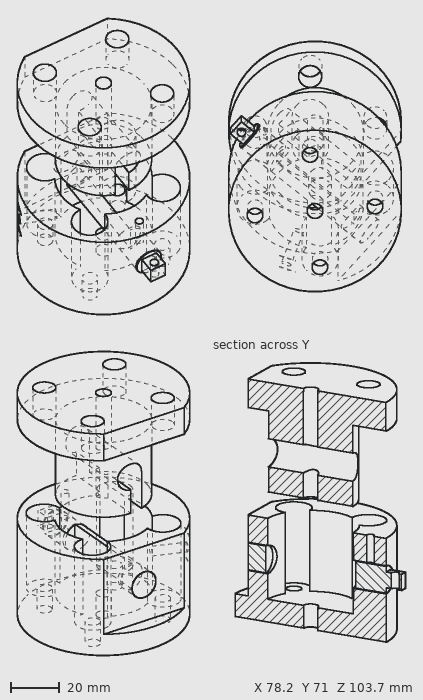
import cadquery as cq
import math

body_radius = 35.5
bore_diameter = 40.0
flat_x = -math.sqrt(body_radius**2 - (bore_diameter / 2) ** 2)

base_height = 45.0
foot_height = 10.0
bore_depth = base_height - foot_height
pin_axis_z = 27.0
bolt_offset = 17.5
bolt_hole_diameter = 6.4
bolt_pocket_diameter = 15.0
center_hole_diameter = 6.5
set_screw_diameter = 3.3
set_screw_x = 28.0

spot_angle = 20.6
spot_width = 8.3
spot_height = 13.0
spot_center_z = 27.5
spot_hole_diameter = 4.0

pin_hole_diameter = 12.0
pin_diameter = 11.8
pin_length = 65.0
pin_cut_length = 42.0
tail_size = 7.0
tail_hole_diameter = 3.5
tail_hole_inset = 3.0

flange_thickness = 12.5
plug_length = bore_depth
plug_diameter = 39.6
overall_height = 103.73
flange_top_z = overall_height
flange_bottom_z = flange_top_z - flange_thickness
plug_bottom_z = flange_bottom_z - plug_length
cross_hole_z = plug_bottom_z + pin_axis_z - foot_height
flange_hole_diameter = 9.5

overshoot = 1.0
bolt_points = [(sx * bolt_offset, sy * bolt_offset) for sx in (-1, 1) for sy in (-1, 1)]


def vertical_cylinders(diameter, z_bottom, z_top, points):
    """Upright cylinders of one diameter between two heights."""
    return (
        cq.Workplane("XY", origin=(0, 0, z_bottom))
        .pushPoints(points)
        .circle(diameter / 2)
        .extrude(z_top - z_bottom)
    )


def cylinder_along_x(diameter, x_start, x_end, z):
    """Cylinder on the XZ plane of symmetry, parallel to X."""
    return cq.Workplane("YZ", origin=(x_start, 0, z)).circle(diameter / 2).extrude(x_end - x_start)


def box_between(x_range, y_range, z_range):
    """Axis-aligned box given by its limits."""
    ranges = (x_range, y_range, z_range)
    low_corner = tuple(low for low, high in ranges)
    sizes = [high - low for low, high in ranges]
    return cq.Workplane("XY").box(*sizes, centered=False).translate(low_corner)


def flat_cutter(z_bottom, z_top):
    """Everything on the -X side of the flat, between two heights."""
    return box_between((-body_radius - overshoot, flat_x), (-body_radius, body_radius), (z_bottom, z_top))


def spot_cutter():
    """Shallow flat spot on the round side with a radial hole into the bore."""
    chord_distance = math.sqrt(body_radius**2 - (spot_width / 2) ** 2)
    spot = box_between(
        (-spot_width / 2, spot_width / 2),
        (-body_radius - overshoot, -chord_distance),
        (spot_center_z - spot_height / 2, spot_center_z + spot_height / 2),
    )
    hole = (
        cq.Workplane("XZ", origin=(0, 0, pin_axis_z))
        .circle(spot_hole_diameter / 2)
        .extrude(body_radius + overshoot)
    )
    return spot.union(hole).rotate((0, 0, 0), (0, 0, 1), -spot_angle)


def make_base():
    center = [(0, 0)]
    base = vertical_cylinders(2 * body_radius, 0, base_height, center)
    base = base.cut(flat_cutter(foot_height, base_height))
    base = base.cut(vertical_cylinders(bore_diameter, foot_height, base_height, center))
    base = base.cut(vertical_cylinders(center_hole_diameter, 0, foot_height, center))
    base = base.cut(vertical_cylinders(bolt_pocket_diameter, foot_height, base_height, bolt_points))
    base = base.cut(vertical_cylinders(bolt_hole_diameter, 0, foot_height, bolt_points))
    base = base.cut(vertical_cylinders(set_screw_diameter, pin_axis_z, base_height, [(set_screw_x, 0)]))
    base = base.cut(cylinder_along_x(pin_hole_diameter, flat_x, body_radius + overshoot, pin_axis_z))
    return base.cut(spot_cutter())


def make_pin():
    """Round pin, half cut away across the bore, with a drilled square tail."""
    shoulder_x = flat_x + pin_length
    tip_x = shoulder_x + tail_size
    half_cut = pin_cut_length / 2
    half_tail = tail_size / 2
    radius = pin_diameter / 2
    z_range = (pin_axis_z - radius, pin_axis_z + radius)
    tail_z = (pin_axis_z - half_tail, pin_axis_z + half_tail)

    pin = cylinder_along_x(pin_diameter, flat_x, shoulder_x, pin_axis_z)
    pin = pin.cut(box_between((-half_cut, half_cut), (0, radius), z_range))
    pin = pin.union(box_between((shoulder_x, tip_x), (-half_tail, half_tail), tail_z))
    return pin.cut(vertical_cylinders(tail_hole_diameter, *tail_z, [(tip_x - tail_hole_inset, 0)]))


def make_plug():
    """Flange and plug with a keyhole slot that passes over the half-cut pin."""
    center = [(0, 0)]
    radius = plug_diameter / 2
    slot_width = pin_hole_diameter / 2
    plug = vertical_cylinders(2 * body_radius, flange_bottom_z, flange_top_z, center)
    plug = plug.cut(flat_cutter(flange_bottom_z, flange_top_z))
    plug = plug.union(vertical_cylinders(plug_diameter, plug_bottom_z, flange_bottom_z, center))
    plug = plug.cut(vertical_cylinders(flange_hole_diameter, flange_bottom_z, flange_top_z, bolt_points))
    plug = plug.cut(vertical_cylinders(center_hole_diameter, plug_bottom_z, flange_top_z, center))
    plug = plug.cut(cylinder_along_x(pin_hole_diameter, -radius, radius, cross_hole_z))
    return plug.cut(box_between((-radius, radius), (-slot_width, 0), (plug_bottom_z, cross_hole_z)))


base = make_base()
pin = make_pin()
plug = make_plug()

result = cq.Compound.makeCompound([base.val(), pin.val(), plug.val()])